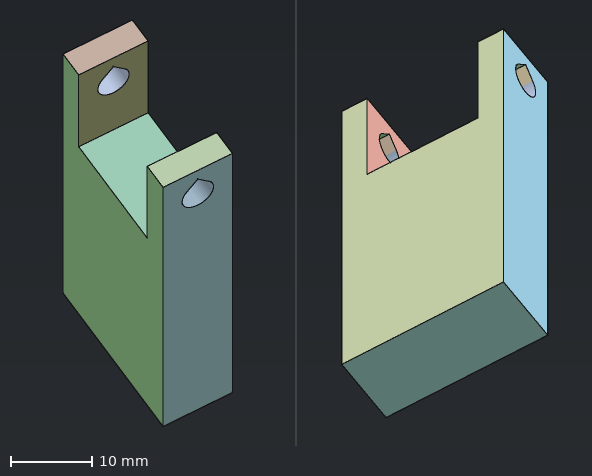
import cadquery as cq
import math

width = 23.75
depth = 10.0
height = 50.0

arm_thickness = 3.75
slot_width = width - 2 * arm_thickness
slot_depth = 15.0

hole_radius = 2.25
hole_height = height - 5.0


def fork_body():
    """Block standing on Z = 0 with a slot leaving two arms."""
    block = cq.Workplane("XY").box(width, depth, height, centered=(True, True, False))
    slot = (
        cq.Workplane("XY")
        .workplane(offset=height - slot_depth)
        .box(slot_width, depth, slot_depth, centered=(True, True, False))
    )
    return block.cut(slot)


def teardrop_pin():
    """Round pin along X whose top closes in a 45 degree point."""
    tangent = hole_radius / math.sqrt(2)
    tip = hole_radius * math.sqrt(2)
    return (
        cq.Workplane("YZ", origin=(0, 0, hole_height))
        .moveTo(-tangent, tangent)
        .threePointArc((0, -hole_radius), (tangent, tangent))
        .lineTo(0, tip)
        .close()
        .extrude(width / 2, both=True)
    )


result = fork_body().cut(teardrop_pin())